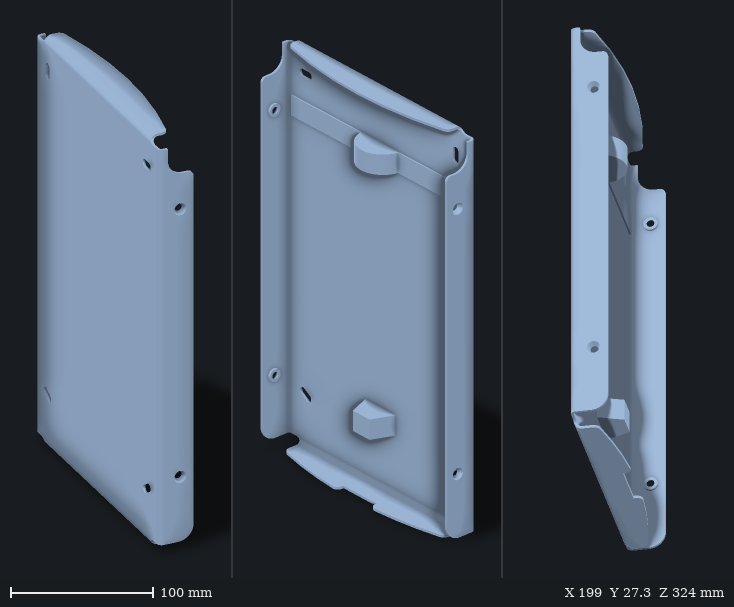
import cadquery as cq
import math

WIDTH = 199.0
DEPTH = 27.2
HEIGHT = 324.0
HALF_WIDTH = WIDTH / 2

SHEET = 2.0
WALL_BEND = 2 * SHEET
FLANGE_BEND = 3 * SHEET
PANEL_BOTTOM = FLANGE_BEND
PANEL_TOP = HEIGHT - FLANGE_BEND

STRIP_DEPTH = 7.0
NOTCH_HEIGHT = 21.5
NOTCH_RADIUS = 12.0
WALL_TOP_RADIUS = 4.0
WALL_BOTTOM_RADIUS = 12.0

BOSS_DEPTH = 17.0
BOSS_SPACING = 211.2
BOSS_MIDDLE = 162.5
LOWER_BOSS_Z = BOSS_MIDDLE - BOSS_SPACING / 2
UPPER_BOSS_Z = BOSS_MIDDLE + BOSS_SPACING / 2
BOSS_DIAMETER = 10.0
BOSS_HEIGHT = 2.0
SINK_DIAMETER = 9.5
BOSS_HOLE = 5.5

FLANGE_WIDTH = 170.7
RELIEF_RADIUS = 4.5
FLANGE_ARC_RADIUS = 346.7
FLANGE_CORNER = 5.5
TOP_FLANGE_DEPTH = 24.0
BOTTOM_FLANGE_DEPTH = 28.0
CUTOUT_WIDTH = 35.3
CUTOUT_FLOOR = 21.0
CUTOUT_CORNER = 4.5

BAR_HEIGHT = 16.2
FOOT_INSET = 5.2
FOOT_THICKNESS = 1.3
DOME_RADIUS = 20.5
DOME_TOP = 20.0
WEDGE_TOP = 20.0
WEDGE_BASE = 32.5
WEDGE_SLOPE = 68.0

SLOT_LENGTH = 13.0
SLOT_WIDTH = 6.0
SLOT_X = HALF_WIDTH - 19.5
UPPER_SLOT_Z = 298.0
LOWER_SLOT_Z = 42.8
SLOT_TILT = 32.0


def make_channel():
    """Front panel and both side walls as one bent channel."""
    outer = (
        cq.Workplane("XY", origin=(0, 0, PANEL_BOTTOM))
        .rect(WIDTH, 2 * DEPTH)
        .extrude(PANEL_TOP - PANEL_BOTTOM)
        .translate((0, DEPTH, 0))
        .edges("|Z and <Y")
        .fillet(WALL_BEND)
    )
    inner = (
        cq.Workplane("XY", origin=(0, DEPTH + SHEET, PANEL_BOTTOM))
        .rect(WIDTH - 2 * SHEET, 2 * DEPTH)
        .extrude(PANEL_TOP - PANEL_BOTTOM)
        .edges("|Z and <Y")
        .fillet(WALL_BEND - SHEET)
    )
    return outer.cut(inner).intersect(make_wall_outline())


def make_wall_outline():
    """Side outline of the walls, extruded across the full width."""
    notch_bottom = PANEL_TOP - NOTCH_HEIGHT
    outline = (
        cq.Workplane("YZ", origin=(-HALF_WIDTH, 0, 0))
        .moveTo(0, PANEL_BOTTOM)
        .lineTo(DEPTH - WALL_BOTTOM_RADIUS, PANEL_BOTTOM)
        .radiusArc((DEPTH, PANEL_BOTTOM + WALL_BOTTOM_RADIUS), -WALL_BOTTOM_RADIUS)
        .lineTo(DEPTH, notch_bottom - WALL_TOP_RADIUS)
        .radiusArc((DEPTH - WALL_TOP_RADIUS, notch_bottom), -WALL_TOP_RADIUS)
        .lineTo(STRIP_DEPTH + NOTCH_RADIUS, notch_bottom)
        .radiusArc((STRIP_DEPTH, notch_bottom + NOTCH_RADIUS), NOTCH_RADIUS)
        .lineTo(STRIP_DEPTH, PANEL_TOP)
        .lineTo(0, PANEL_TOP)
        .close()
    )
    return outline.extrude(WIDTH)


def make_bent_strip():
    """Full-depth top flange with its bend, before trimming."""
    start = FLANGE_WIDTH / 2 + RELIEF_RADIUS
    inner_radius = FLANGE_BEND - SHEET
    profile = (
        cq.Workplane("YZ", origin=(-start, 0, 0))
        .moveTo(0, PANEL_TOP)
        .radiusArc((FLANGE_BEND, HEIGHT), FLANGE_BEND)
        .lineTo(DEPTH + SHEET, HEIGHT)
        .lineTo(DEPTH + SHEET, HEIGHT - SHEET)
        .lineTo(FLANGE_BEND, HEIGHT - SHEET)
        .radiusArc((SHEET, PANEL_TOP), -inner_radius)
        .close()
    )
    return profile.extrude(2 * start)


def make_relief_outline():
    """Flange seen from the front, flaring into the panel edge with concave arcs."""
    side = FLANGE_WIDTH / 2
    flare = side + RELIEF_RADIUS
    outline = (
        cq.Workplane("XZ")
        .moveTo(-flare, PANEL_TOP)
        .radiusArc((-side, PANEL_TOP + RELIEF_RADIUS), -RELIEF_RADIUS)
        .lineTo(-side, HEIGHT)
        .lineTo(side, HEIGHT)
        .lineTo(side, PANEL_TOP + RELIEF_RADIUS)
        .radiusArc((flare, PANEL_TOP), -RELIEF_RADIUS)
        .close()
    )
    return outline.extrude(-2 * DEPTH)


def make_arched_outline(apex_depth):
    """Flange seen from above: straight sides and an arched, corner-rounded rear edge."""
    side = FLANGE_WIDTH / 2
    edge_depth = apex_depth - FLANGE_ARC_RADIUS + math.sqrt(FLANGE_ARC_RADIUS**2 - side**2)
    arched = (
        cq.Workplane("XY")
        .moveTo(-side, 0)
        .lineTo(-side, edge_depth)
        .threePointArc((0, apex_depth), (side, edge_depth))
        .lineTo(side, 0)
        .close()
        .extrude(HEIGHT)
        .edges("|Z")
        .filter(lambda edge: edge.Center().y > FLANGE_BEND)
        .fillet(FLANGE_CORNER)
    )
    bend_zone = cq.Workplane("XY").rect(WIDTH, 2 * FLANGE_BEND).extrude(HEIGHT)
    return arched.union(bend_zone)


def make_flange(apex_depth):
    """Trimmed flange in the top position."""
    return make_bent_strip().intersect(make_relief_outline()).intersect(make_arched_outline(apex_depth))


def make_bottom_flange():
    """Bottom flange, mirrored from the top position, with the cut-out in its rear edge."""
    cutout = (
        cq.Workplane("XY")
        .rect(CUTOUT_WIDTH, 2 * (DEPTH - CUTOUT_FLOOR))
        .extrude(SHEET)
        .translate((0, DEPTH, 0))
    )
    flange = make_flange(BOTTOM_FLANGE_DEPTH).mirror("XY").translate((0, 0, HEIGHT)).cut(cutout)
    mouth_corners = flange.edges("|Z").filter(
        lambda edge: edge.Center().y > CUTOUT_FLOOR + CUTOUT_CORNER and abs(edge.Center().x) < CUTOUT_WIDTH
    )
    return mouth_corners.fillet(CUTOUT_CORNER)


def make_slot(x, z, angle):
    """Slot cutter through the front panel."""
    return (
        cq.Workplane("XZ", origin=(x, 0, z))
        .slot2D(SLOT_LENGTH, SLOT_WIDTH, angle)
        .extrude(-2 * SHEET)
    )


def make_boss(place):
    """Round boss on the inner face of a side wall."""
    return cq.Workplane(place).circle(BOSS_DIAMETER / 2).extrude(SHEET + BOSS_HEIGHT)


def make_sink(place):
    """Conical hole that narrows from the outer wall face to the tip of a boss."""
    return (
        cq.Workplane(place)
        .circle(SINK_DIAMETER / 2)
        .workplane(offset=SHEET + BOSS_HEIGHT)
        .circle(BOSS_HOLE / 2)
        .loft()
    )


def make_housing():
    """Bent sheet-metal tray with its slots and countersunk bosses."""
    body = make_channel().union(make_flange(TOP_FLANGE_DEPTH)).union(make_bottom_flange())
    slots = [
        (-SLOT_X, UPPER_SLOT_Z, 90),
        (SLOT_X, UPPER_SLOT_Z, 0),
        (-SLOT_X, LOWER_SLOT_Z, -SLOT_TILT),
        (SLOT_X, LOWER_SLOT_Z, SLOT_TILT),
    ]
    for x, z, angle in slots:
        body = body.cut(make_slot(x, z, angle))
    for side in (-1, 1):
        for z in (LOWER_BOSS_Z, UPPER_BOSS_Z):
            place = cq.Plane(
                origin=(side * HALF_WIDTH, BOSS_DEPTH, z),
                xDir=(0, 1, 0),
                normal=(-side, 0, 0),
            )
            body = body.union(make_boss(place)).cut(make_sink(place))
    return body


def make_domed_bar():
    """Upper crossbar: a thin foot with a cylindrical dome along Z in the middle."""
    start = UPPER_BOSS_Z - BAR_HEIGHT / 2
    foot = (
        cq.Workplane("XY", origin=(0, SHEET + FOOT_THICKNESS / 2, start))
        .rect(WIDTH - 2 * FOOT_INSET, FOOT_THICKNESS)
        .extrude(BAR_HEIGHT)
    )
    above_panel = (
        cq.Workplane("XY", origin=(0, SHEET + DEPTH / 2, start))
        .rect(WIDTH, DEPTH)
        .extrude(BAR_HEIGHT)
    )
    dome = (
        cq.Workplane("XY", origin=(0, DOME_TOP - DOME_RADIUS, start))
        .circle(DOME_RADIUS)
        .extrude(BAR_HEIGHT)
        .intersect(above_panel)
    )
    return foot.union(dome)


def make_wedge_bar():
    """Lower crossbar: a block with two sloping sides."""
    half_base = WEDGE_BASE / 2
    half_top = half_base - (WEDGE_TOP - SHEET) / math.tan(math.radians(WEDGE_SLOPE))
    return (
        cq.Workplane("XY", origin=(0, 0, LOWER_BOSS_Z - BAR_HEIGHT / 2))
        .polyline([
            (-half_base, SHEET),
            (half_base, SHEET),
            (half_top, WEDGE_TOP),
            (-half_top, WEDGE_TOP),
        ])
        .close()
        .extrude(BAR_HEIGHT)
    )


housing = make_housing()
domed_bar = make_domed_bar()
wedge_bar = make_wedge_bar()

result = cq.Compound.makeCompound([housing.val(), domed_bar.val(), wedge_bar.val()])